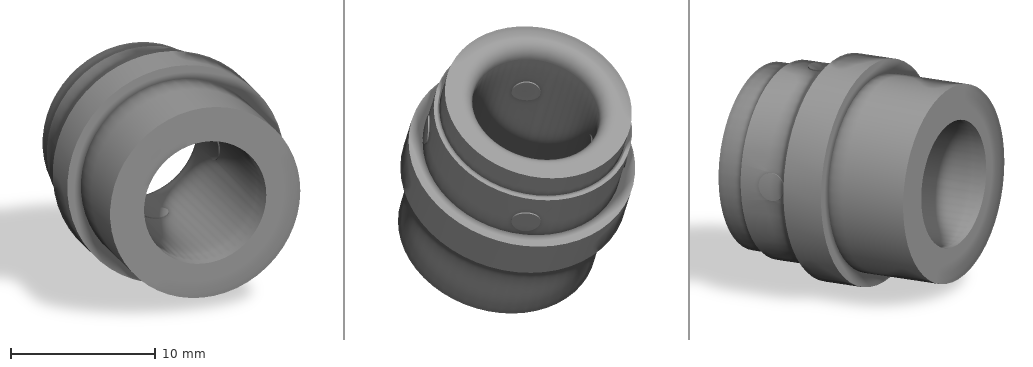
import cadquery as cq

length = 15.0
nose_length = 2.0
collar_start = 6.0
collar_width = 3.0
nose_diameter = 13.2
body_diameter = 14.0
collar_diameter = 16.0
bore_diameter = 9.0
mouth_radius = 1.0

pin_diameter = 2.0
pin_position = 4.5
pin_count = 4
pin_protrusion = 0.1


def cylinder_along_x(start, end, diameter):
    return cq.Workplane("YZ").workplane(offset=start).circle(diameter / 2).extrude(end - start)


def sleeve():
    nose = cylinder_along_x(0, nose_length, nose_diameter)
    body = cylinder_along_x(nose_length, length, body_diameter)
    collar = cylinder_along_x(collar_start, collar_start + collar_width, collar_diameter)
    bore = cylinder_along_x(0, length, bore_diameter)
    bored = nose.union(body).union(collar).cut(bore)
    mouth_edge = bored.faces("<X").edges(cq.selectors.RadiusNthSelector(0))
    return mouth_edge.fillet(mouth_radius)


def radial_pin(angle):
    rod = (
        cq.Workplane("XY")
        .center(pin_position, 0)
        .circle(pin_diameter / 2)
        .extrude(collar_diameter / 2)
    )
    outer_limit = cylinder_along_x(0, length, body_diameter + 2 * pin_protrusion)
    inner_limit = cylinder_along_x(0, length, bore_diameter - 2 * pin_protrusion)
    pin = rod.intersect(outer_limit).cut(inner_limit)
    return pin.rotate((0, 0, 0), (1, 0, 0), angle)


result = sleeve()
for index in range(pin_count):
    result = result.union(radial_pin(index * 360 / pin_count))